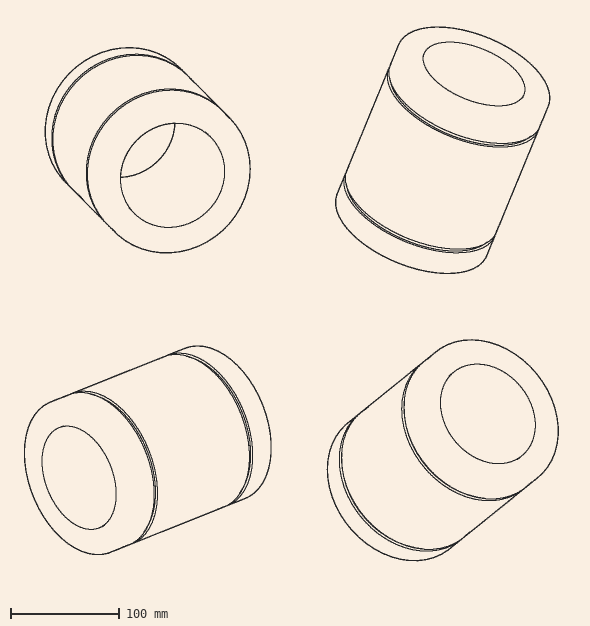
import cadquery as cq

length = 175.0
outer_diameter = 150.0
bore_diameter = 100.0
end_fillet_radius = 2.0

groove_width = 4.2
groove_diameter = 144.5
groove_outer_spacing = 125.5
cutter_margin = 3.5


def cylinder_along_x(diameter, width, center_x=0.0):
    """Solid cylinder on the X axis, centred at center_x."""
    start = cq.Workplane("YZ").workplane(offset=center_x - width / 2)
    return start.circle(diameter / 2).extrude(width)


def groove_cutter(center_x):
    """Ring that removes the material outside the groove floor."""
    ring = cylinder_along_x(outer_diameter + cutter_margin, groove_width, center_x)
    return ring.cut(cylinder_along_x(groove_diameter, groove_width, center_x))


sleeve = cylinder_along_x(outer_diameter, length)
sleeve = sleeve.faces("<X or >X").edges().fillet(end_fillet_radius)
sleeve = sleeve.cut(cylinder_along_x(bore_diameter, length))

groove_center = (groove_outer_spacing - groove_width) / 2
for side in (-1, 1):
    sleeve = sleeve.cut(groove_cutter(side * groove_center))

result = sleeve